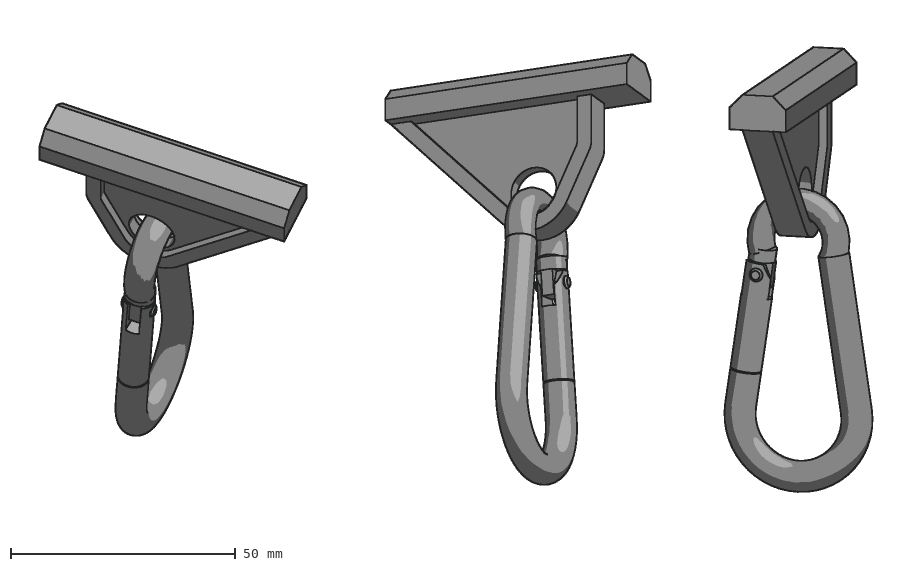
import cadquery as cq
import math


bar_length = 59.0
bar_width = 13.0
bar_height = 8.0
bar_chamfer = 3.0
bar_left = -25.0
bar_right = bar_left + bar_length

web_thickness = 7.0
web_left = -15.0
web_left_slant = 26.0
web_corner_radius = 5.0
rim_width = 3.5
recess_depth = 2.0
recess_corner_radius = web_corner_radius - rim_width

eye_z = -28.0
eye_diameter = 11.0
web_tip_radius = 10.0
bar_bottom_above_eye = -bar_height - eye_z
web_right_slant = math.atan2(bar_right, bar_bottom_above_eye) - math.asin(
    web_tip_radius / math.hypot(bar_right, bar_bottom_above_eye)
)

total_height = 96.0
wire_diameter = 7.0
wire_radius = wire_diameter / 2
lower_outer_radius = 17.0
lower_bow_radius = lower_outer_radius - wire_radius
lower_bow_z = -total_height + lower_outer_radius

upper_wire_depth = 6.0
upper_bow_radius = 8.7
upper_bow_z = -39.0
upper_bow_gate_end = 18.0
upper_bow_limb_end = 30.0

limb_lean = 8.4
limb_length = 35.6
bow_overlap = 0.9
nose_length = 8.1
joint_gap = 0.3

pin_diameter = 3.0
pin_length = 7.8
pin_chamfer = 0.5
pin_position = 30.65
gate_top_above_pin = 2.6
slot_floor_below_pin = 5.4
slot_width = 3.2
relief_start = 1.25
relief_end_below_pin = 1.5

tongue_end_below_pin = 2.9
tongue_width = 2.8
tongue_outer = 2.2
tongue_inner = upper_wire_depth / 2

gate_bottom = nose_length + joint_gap
gate_top = pin_position + gate_top_above_pin
neck_bottom = gate_top + joint_gap
neck_top = limb_length + bow_overlap


def limb_location(side):
    """Frame at the start of a straight limb: local Z up the limb, local Y normal to it in the hook plane.

    side is -1 for the gate limb and +1 for the plain limb.
    """
    lean = math.radians(limb_lean)
    start = (
        0,
        side * lower_bow_radius * math.cos(lean),
        lower_bow_z + lower_bow_radius * math.sin(lean),
    )
    up_limb = (0, -side * math.sin(lean), math.cos(lean))
    return cq.Plane(origin=start, xDir=(1, 0, 0), normal=up_limb).location


def web_profile(inset, corner_radius, depth):
    """Web outline moved inwards by inset and extruded along Y by depth, centred on Y = 0."""
    tip_radius = web_tip_radius - inset
    left = web_left + inset
    slant = math.radians(web_left_slant)
    top = -bar_height
    slant_top = eye_z + (-left * math.cos(slant) - tip_radius) / math.sin(slant)
    slant_end = (-tip_radius * math.cos(slant), eye_z - tip_radius * math.sin(slant))
    long_edge_end = (
        tip_radius * math.cos(web_right_slant),
        eye_z - tip_radius * math.sin(web_right_slant),
    )
    top_right = tip_radius / math.cos(web_right_slant) + bar_bottom_above_eye * math.tan(web_right_slant)
    return (
        cq.Workplane("XZ")
        .moveTo(left, top)
        .lineTo(left, slant_top)
        .lineTo(*slant_end)
        .threePointArc((0, eye_z - tip_radius), long_edge_end)
        .lineTo(top_right, top)
        .close()
        .extrude(depth / 2, both=True)
        .edges(cq.selectors.NearestToPointSelector((left, 0, slant_top)))
        .fillet(corner_radius)
    )


def make_hanger():
    bar = (
        cq.Workplane("XY")
        .box(bar_length, bar_width, bar_height, centered=(False, True, False))
        .translate((bar_left, 0, -bar_height))
        .edges("|X and >Z")
        .chamfer(bar_chamfer)
    )
    web = web_profile(0, web_corner_radius, web_thickness)
    recess_outline = web_profile(rim_width, recess_corner_radius, web_thickness)
    middle = cq.Workplane("XY").box(
        2 * bar_length, web_thickness - 2 * recess_depth, total_height
    )
    web = web.cut(recess_outline.cut(middle))
    eye = (
        cq.Workplane("XZ")
        .center(0, eye_z)
        .circle(eye_diameter / 2)
        .extrude(web_thickness, both=True)
    )
    return bar.union(web).cut(eye)


def make_lower_bow():
    sweep = 180 + 2 * limb_lean
    return (
        cq.Workplane("XY", origin=(0, 0, lower_bow_z))
        .center(0, lower_bow_radius)
        .circle(wire_radius)
        .revolve(sweep, (0, -lower_bow_radius), (-1, -lower_bow_radius))
        .rotate((0, 0, lower_bow_z), (1, 0, lower_bow_z), limb_lean)
    )


def make_upper_bow():
    """Flattened upper bow, trimmed flush where it lands on the end face of the plain limb."""
    sweep = 180 + upper_bow_gate_end + upper_bow_limb_end
    bow = (
        cq.Workplane("XY", origin=(0, 0, upper_bow_z))
        .center(0, upper_bow_radius)
        .ellipse(wire_radius, upper_wire_depth / 2)
        .revolve(sweep, (0, -upper_bow_radius), (1, -upper_bow_radius))
        .rotate((0, 0, upper_bow_z), (1, 0, upper_bow_z), -upper_bow_limb_end)
    )
    limb_block = cq.Workplane("XY").rect(2 * wire_diameter, 2 * wire_diameter).extrude(limb_length)
    return bow.cut(limb_block.val().moved(limb_location(1)))


def make_pin_hole():
    """Cutter for the hinge bore, in the frame of the gate limb."""
    return (
        cq.Workplane("YZ")
        .center(0, pin_position)
        .circle(pin_diameter / 2)
        .extrude(pin_length, both=True)
    )


def make_neck_and_tongue():
    """Neck and drilled hinge tongue of the hook, in the frame of the gate limb."""
    neck = (
        cq.Workplane("XY", origin=(0, 0, neck_bottom))
        .ellipse(wire_radius, upper_wire_depth / 2)
        .extrude(neck_top - neck_bottom)
    )
    tongue_bottom = pin_position - tongue_end_below_pin
    tongue = (
        cq.Workplane("XY")
        .box(
            tongue_width,
            tongue_inner + tongue_outer,
            neck_bottom - tongue_bottom,
            centered=(True, False, False),
        )
        .translate((0, -tongue_outer, tongue_bottom))
    )
    return neck.union(tongue).cut(make_pin_hole())


def make_pin():
    """Hinge pin, in the frame of the gate limb."""
    return (
        cq.Workplane("YZ")
        .center(0, pin_position)
        .circle(pin_diameter / 2)
        .extrude(pin_length / 2, both=True)
        .faces("<X or >X")
        .chamfer(pin_chamfer)
    )


def make_gate():
    """Forked round bar, in the frame of the gate limb."""
    slot_floor = pin_position - slot_floor_below_pin
    body = (
        cq.Workplane("XY", origin=(0, 0, gate_bottom))
        .circle(wire_radius)
        .extrude(gate_top - gate_bottom)
    )
    slot = (
        cq.Workplane("XY")
        .box(slot_width, 2 * wire_diameter, gate_top - slot_floor, centered=(True, True, False))
        .translate((0, 0, slot_floor))
    )
    relief = (
        cq.Workplane("YZ")
        .moveTo(relief_start, gate_top)
        .lineTo(wire_radius, gate_top)
        .lineTo(wire_radius, pin_position - relief_end_below_pin)
        .close()
        .extrude(wire_diameter, both=True)
    )
    return body.cut(slot).cut(relief).cut(make_pin_hole())


def make_hook():
    plain_limb = cq.Workplane("XY").circle(wire_radius).extrude(limb_length)
    nose = cq.Workplane("XY").circle(wire_radius).extrude(nose_length)
    hook = make_lower_bow()
    hook = hook.union(plain_limb.val().moved(limb_location(1)))
    hook = hook.union(make_upper_bow())
    hook = hook.union(nose.val().moved(limb_location(-1)))
    return hook.union(make_neck_and_tongue().val().moved(limb_location(-1)))


hanger = make_hanger()
hook = make_hook()
gate = make_gate().val().moved(limb_location(-1))
pin = make_pin().val().moved(limb_location(-1))

result = cq.Compound.makeCompound([hanger.val(), hook.val(), gate, pin])